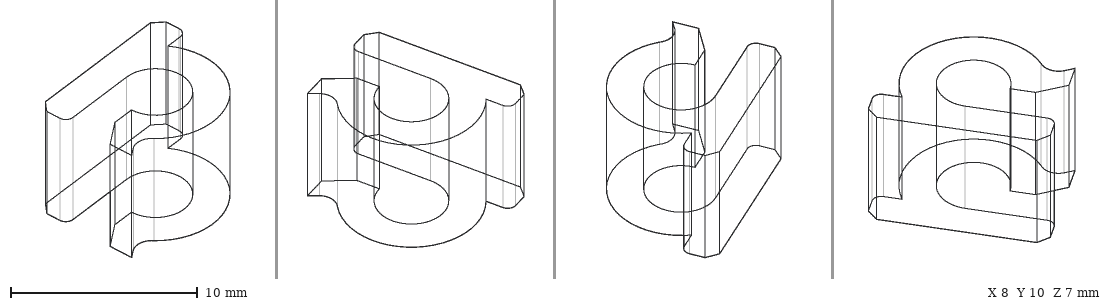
import cadquery as cq
import math

height = 7.0
plate_length = 10.0
plate_thickness = 2.0
plate_chamfer = 0.6
plate_fillet = 0.5
bore_radius = 2.0
hook_wall = 2.0

hook_radius = bore_radius + hook_wall
center_x = plate_thickness + bore_radius
center_y = plate_length / 2

lip_top_y = 1.6
lip_inner_x = 5.0
lip_outer_x = 6.5
lip_slope = lip_top_y / (lip_inner_x - center_x)
neck_x = 6.16
neck_y = (lip_outer_x - neck_x) * lip_slope
neck_side = (6.04, 1.15)
hook_end_x = 6.5


def outer_circle_offset(dx):
    """Y distance from the hook center to its outer circle at offset dx."""
    return math.sqrt(hook_radius**2 - dx**2)


def make_plate():
    plate = cq.Workplane("XY").box(plate_thickness, plate_length, height, centered=False)
    plate = plate.edges("|Z and <X").chamfer(plate_chamfer)
    return plate.edges("|Z and >X").fillet(plate_fillet)


def make_hook():
    root_y = center_y + outer_circle_offset(plate_thickness - center_x)
    hook_end_y = center_y - outer_circle_offset(hook_end_x - center_x)
    bore_mid = bore_radius * math.sqrt(0.5)
    return (
        cq.Workplane("XY")
        .moveTo(plate_thickness, center_y)
        .threePointArc((center_x + bore_mid, center_y + bore_mid), (center_x, center_y - bore_radius))
        .lineTo(center_x, lip_top_y)
        .lineTo(lip_inner_x, 0)
        .lineTo(lip_outer_x, 0)
        .lineTo(neck_x, neck_y)
        .threePointArc(neck_side, (hook_end_x, hook_end_y))
        .threePointArc((center_x + hook_radius, center_y), (plate_thickness, root_y))
        .lineTo(plate_thickness / 2, root_y)
        .lineTo(plate_thickness / 2, center_y)
        .close()
        .extrude(height)
    )


result = make_plate().union(make_hook())